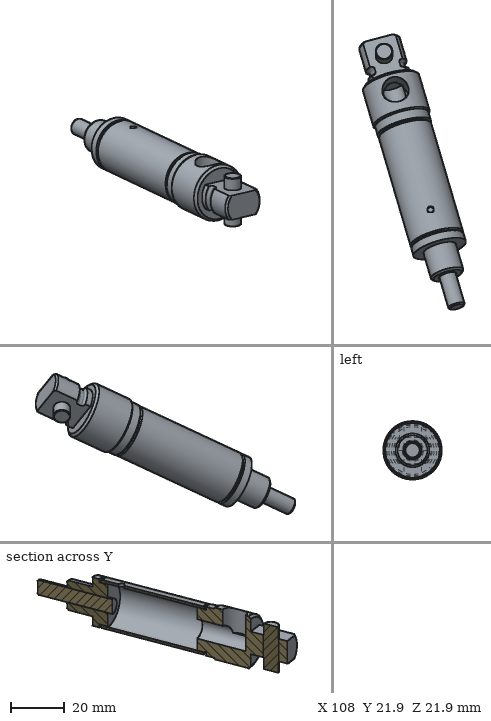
import cadquery as cq


rod_diameter = 6.4
rod_chamfer = 0.5
rod_end_x = 32.4

nose_start_x = 12.7
nose_diameter = 12.6
nose_chamfer = 0.8
bore_chamfer = 0.27
flange_start_x = 23.8
flange_end_x = 26.8

tube_diameter = 20.4
tube_bore = 17.8
tube_start_x = 27.3
tube_end_x = 72.3
tube_chamfer = 0.5
vent_diameter = 2.4
vent_x = 36.4
plug_depth = 3.2

collar_start_x = 72.8
collar_diameter = 20.7
cap_start_x = 76.2
cap_end_x = 92.2
cap_diameter = 21.9
cap_front_chamfer = 0.5
cap_rear_chamfer = 1.0
port_diameter = 9.8
port_x = 85.0
passage_diameter = 7.9
passage_end_x = port_x + port_diameter / 2

tang_end_x = 108.0
tang_diameter = 15.9
tang_thickness = 9.6
tang_chamfer = 0.8
groove_start_x = 94.5
groove_end_x = 97.8
groove_diameter = 13.6
groove_corner_radius = 1.0

pin_x = 100.9
pin_diameter = 6.4
pin_length = 19.2
pin_chamfer = 0.27


def cylinder_x(diameter, start_x, end_x):
    """Solid cylinder on the X axis."""
    return cq.Workplane("YZ", origin=(start_x, 0, 0)).circle(diameter / 2).extrude(end_x - start_x)


def make_rod():
    return cylinder_x(rod_diameter, 0, rod_end_x).faces("<X").chamfer(rod_chamfer)


def make_front_head():
    nose = cylinder_x(nose_diameter, nose_start_x, flange_start_x).faces("<X").chamfer(nose_chamfer)
    flange = cylinder_x(tube_diameter, flange_start_x, flange_end_x)
    plug = cylinder_x(tube_bore, flange_end_x, tube_start_x + plug_depth)
    rod_bore = cylinder_x(rod_diameter, nose_start_x, rod_end_x)
    head = nose.union(flange).union(plug).cut(rod_bore)
    bore_rim = cq.selectors.RadiusNthSelector(0)
    return head.faces("<X").edges(bore_rim).chamfer(bore_chamfer)


def make_tube():
    outside = cylinder_x(tube_diameter, tube_start_x, tube_end_x).faces("<X or >X").chamfer(tube_chamfer)
    bore = cylinder_x(tube_bore, tube_start_x, tube_end_x)
    vent = cq.Workplane("XY").center(vent_x, 0).circle(vent_diameter / 2).extrude(tube_diameter)
    return outside.cut(bore).cut(vent)


def make_tang():
    """Round bar with a neck groove, flattened on its top and bottom."""
    bar = cylinder_x(tang_diameter, cap_end_x, tang_end_x).faces(">X").chamfer(tang_chamfer)
    bar_radius = tang_diameter / 2
    groove_radius = groove_diameter / 2
    groove = (
        cq.Workplane("XY")
        .moveTo(groove_start_x, bar_radius)
        .lineTo(groove_start_x, groove_radius + groove_corner_radius)
        .tangentArcPoint((groove_corner_radius, -groove_corner_radius), relative=True)
        .lineTo(groove_end_x - groove_corner_radius, groove_radius)
        .tangentArcPoint((groove_corner_radius, groove_corner_radius), relative=True)
        .lineTo(groove_end_x, bar_radius)
        .close()
        .revolve(360, (0, 0, 0), (1, 0, 0))
    )
    tang_length = tang_end_x - cap_end_x
    slab = cq.Workplane("XY").box(tang_length, tang_diameter, tang_thickness)
    slab = slab.translate((cap_end_x + tang_length / 2, 0, 0))
    return bar.cut(groove).intersect(slab)


def make_rear_cap():
    plug_start_x = tube_end_x - plug_depth
    plug = cylinder_x(tube_bore, plug_start_x, collar_start_x)
    collar = cylinder_x(collar_diameter, collar_start_x, cap_start_x)
    body = cylinder_x(cap_diameter, cap_start_x, cap_end_x)
    body = body.faces("<X").chamfer(cap_front_chamfer).faces(">X").chamfer(cap_rear_chamfer)
    port = cq.Workplane("XY").center(port_x, 0).circle(port_diameter / 2).extrude(cap_diameter)
    passage = cylinder_x(passage_diameter, plug_start_x, passage_end_x)
    pin_hole = make_pin_blank()
    return plug.union(collar).union(body).union(make_tang()).cut(port).cut(passage).cut(pin_hole)


def make_pin_blank():
    """Plain pin along Z, centred on the tang."""
    return (
        cq.Workplane("XY", origin=(pin_x, 0, -pin_length / 2))
        .circle(pin_diameter / 2)
        .extrude(pin_length)
    )


def make_pin():
    return make_pin_blank().faces("<Z or >Z").chamfer(pin_chamfer)


rod = make_rod()
front_head = make_front_head()
tube = make_tube()
rear_cap = make_rear_cap()
pin = make_pin()

result = cq.Compound.makeCompound(
    [rod.val(), front_head.val(), tube.val(), rear_cap.val(), pin.val()]
)